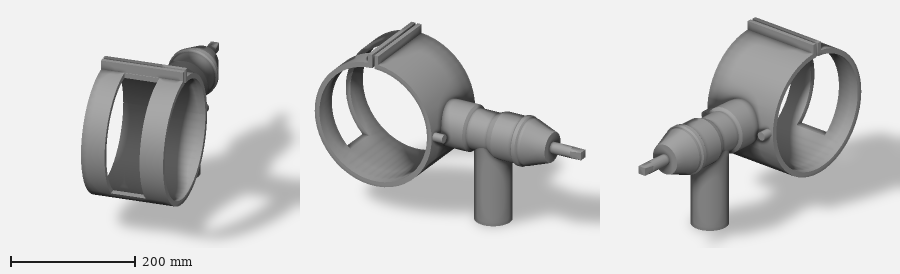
import cadquery as cq

ring_width = 140.0
ring_outer_radius = 108.5
ring_inner_radius = 100.0

split_gap = 4.0
ear_thickness = 7.5
ear_top = 124.0
ear_outer_face = split_gap / 2 + ear_thickness

window_width = 59.5
window_bottom = -76.0
window_setback = 1.0
window_start = ear_outer_face + window_setback

overall_length = 458.5
shaft_tip = overall_length - ring_outer_radius
body_radius = 39.5
neck_radius = 34.5
nose_radius = 25.5
rear_shoulder_start = 147.5
neck_start = 152.3
neck_end = 188.5
front_shoulder_end = 200.5
nose_base = 254.0
nose_end = 293.0

collar_radius = 42.0
collar_start = 237.0
collar_end = 249.0
collar_bevel = 2.8

shaft_radius = 9.5
square_start = 330.5
square_base_width = 16.5
square_tip_width = 13.8

branch_radius = 31.0
branch_position = 183.0
branch_bottom = -152.0

pin_radius = 7.5
pin_offset = 60.0
pin_end = 126.0

hole_radius = 15.0
hole_end = rear_shoulder_start


def cylinder_along_y(radius, start, end, x=0.0):
    """Solid cylinder parallel to Y, between two Y positions."""
    return cq.Workplane("XZ", origin=(x, start, 0)).circle(radius).extrude(start - end)


def cylinder_across_ring(radius):
    """Solid cylinder on the ring axis, as wide as the ring."""
    return cq.Workplane("YZ", origin=(-ring_width / 2, 0, 0)).circle(radius).extrude(ring_width)


def make_clamp():
    """Split ring with ears, still without its bore."""
    ring = cylinder_across_ring(ring_outer_radius)
    ears = cq.Workplane("XY").box(ring_width, 2 * ear_outer_face, ear_top, centered=(True, True, False))
    return ring.union(ears)


def make_body():
    """Turned body with shoulders, neck, collar and conical nose."""
    profile = [
        (0, 0),
        (body_radius, 0),
        (body_radius, rear_shoulder_start),
        (neck_radius, neck_start),
        (neck_radius, neck_end),
        (body_radius, front_shoulder_end),
        (body_radius, collar_start),
        (collar_radius, collar_start + collar_bevel),
        (collar_radius, collar_end - collar_bevel),
        (body_radius, collar_end),
        (body_radius, nose_base),
        (nose_radius, nose_end),
        (0, nose_end),
    ]
    return cq.Workplane("XY").polyline(profile).close().revolve(360, (0, 0, 0), (0, 1, 0))


def make_shaft():
    """Round shaft whose tip is cut down to a tapered square."""
    shaft = cylinder_along_y(shaft_radius, nose_end, shaft_tip)
    tip_envelope = (
        cq.Workplane("XZ", origin=(0, square_start, 0))
        .rect(square_base_width, square_base_width)
        .workplane(offset=square_start - shaft_tip)
        .rect(square_tip_width, square_tip_width)
        .loft(ruled=True)
    )
    plain_part = cylinder_along_y(shaft_radius, nose_end, square_start)
    return plain_part.union(shaft.intersect(tip_envelope))


def make_branch():
    return (
        cq.Workplane("XY", origin=(0, branch_position, branch_bottom))
        .circle(branch_radius)
        .extrude(-branch_bottom)
    )


part = make_clamp().union(make_body()).union(make_shaft()).union(make_branch())
for side in (-1, 1):
    part = part.union(cylinder_along_y(pin_radius, ring_inner_radius, pin_end, side * pin_offset))

bore = cylinder_across_ring(ring_inner_radius)
split = cq.Workplane("XY").box(ring_width, split_gap, ear_top, centered=(True, True, False))
window = cq.Workplane("XY").box(
    window_width,
    ring_outer_radius - window_start,
    ear_top - window_bottom,
    centered=(True, False, False),
).translate((0, -ring_outer_radius, window_bottom))
hole = cylinder_along_y(hole_radius, 0, hole_end)

result = part.cut(bore).cut(split).cut(window).cut(hole)